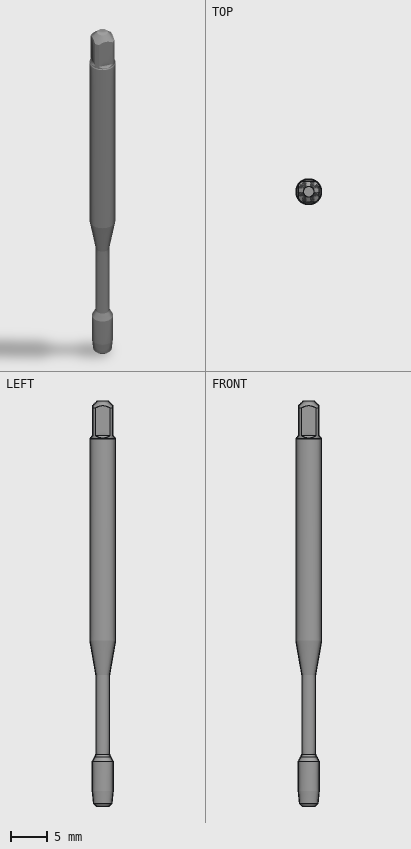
import cadquery as cq
import math

total_length = 56.2

shank_diameter = 3.6
neck_diameter = 1.9
shank_top_z = 50.9
shank_taper_top_z = 23.0
shank_taper_bottom_z = 18.2
neck_bottom_z = 7.25

drive_diameter = 3.45
drive_across_flats = 2.8
drive_end_diameter = 1.45
flat_bottom_z = 51.35
runout_angle = 45.0

head_diameter = 2.9
joint_diameter = 2.25
lead_end_diameter = 2.6
tip_diameter = 1.7
joint_z = 6.9
head_shoulder_z = 6.25
lead_start_z = 2.15
lead_end_z = 0.45


def revolve_profile(profile):
    """Turn a (diameter, Z) profile, listed from top to bottom, around Z."""
    outline = [(0, profile[0][1])]
    outline += [(diameter / 2, z) for diameter, z in profile]
    outline.append((0, profile[-1][1]))
    return cq.Workplane("XZ").polyline(outline).close().revolve(360, (0, 0), (0, 1))


def make_flat_cutter():
    """Material removed from the +X side for one drive flat and its ramp."""
    flat_x = drive_across_flats / 2
    outer_x = shank_diameter
    ramp_drop = (outer_x - flat_x) * math.tan(math.radians(runout_angle))
    outline = [
        (flat_x, total_length),
        (flat_x, flat_bottom_z),
        (outer_x, flat_bottom_z - ramp_drop),
        (outer_x, total_length),
    ]
    return cq.Workplane("XZ").polyline(outline).close().extrude(shank_diameter, both=True)


def make_shank():
    """Shank with a square drive above and a slim neck below."""
    end_cone_height = (drive_diameter - drive_end_diameter) / 2
    shoulder_height = (shank_diameter - drive_diameter) / 2
    body = revolve_profile([
        (drive_end_diameter, total_length),
        (drive_diameter, total_length - end_cone_height),
        (drive_diameter, shank_top_z + shoulder_height),
        (shank_diameter, shank_top_z),
        (shank_diameter, shank_taper_top_z),
        (neck_diameter, shank_taper_bottom_z),
        (neck_diameter, neck_bottom_z),
        (joint_diameter, joint_z),
    ])
    flat_cutter = make_flat_cutter()
    for angle in (0, 90, 180, 270):
        body = body.cut(flat_cutter.rotate((0, 0, 0), (0, 0, 1), angle))
    return body


def make_head():
    """Threading head with a conical shoulder, a tapered lead and a chamfered tip."""
    return revolve_profile([
        (joint_diameter, joint_z),
        (head_diameter, head_shoulder_z),
        (head_diameter, lead_start_z),
        (lead_end_diameter, lead_end_z),
        (tip_diameter, 0),
    ])


shank = make_shank()
head = make_head()

result = cq.Compound.makeCompound([shank.val(), head.val()])